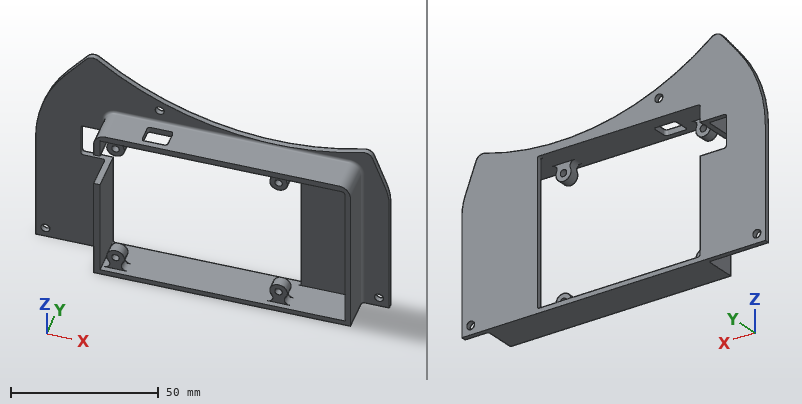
import cadquery as cq
import math

plate_width = 125.6
plate_thickness = 2.0
total_depth = 15.0
left_arc_start = 44.0
left_arc_radius = 48.6
left_arc_angle = math.radians(39.5)
right_arc_start = 46.1
right_arc_radius = 21.4
right_arc_angle = math.radians(20.8)
saddle_x = 85.4
saddle_z = 62.8
saddle_radius = 105.5
peak_radius = 3.0

box_left = 24.7
box_right = 115.9
box_top = 61.9
box_corner_radius = 4.3
base_fillet = 1.0
inner_left = 27.0
inner_right = 114.0
inner_bottom = 1.9
inner_top = 59.7
inner_corner_radius = 1.4
window_right = 94.3
window_corner_radius = 0.8

notch_left = 16.1
notch_bottom = 40.1
notch_top = 52.9
notch_radius = 1.0
port_left = 41.1
port_right = 50.1
port_back = 5.5
port_front = 12.7
port_radius = 1.0
screw_diameter = 3.1
screw_centers = [(3.5, 3.6), (122.0, 3.6), (44.1, 67.1)]

lug_left = 31.9
lug_right = 89.8
lug_bottom = 6.9
lug_top = 55.8
lug_radius = 3.1
lug_hole_diameter = 2.6
lug_flare_radius = 1.9
lug_inset = 2.0
lug_length = 4.0

seam_margin = 0.1
pick_margin = 1.3


def slab(sketch, back, front):
    """Extrude an XZ outline between two depths measured from the back of the plate."""
    return sketch.extrude(front - back).translate((0, -back, 0))


def rectangle(x0, x1, z0, z1):
    width = x1 - x0
    height = z1 - z0
    return cq.Workplane("XZ").center(x0 + width / 2, z0 + height / 2).rect(width, height)


def meet_saddle(x, z, slope):
    """Point where a line through (x, z) with dz/dx = slope reaches the concave top edge."""
    center_z = saddle_z + saddle_radius
    length = math.hypot(1, slope)
    ux, uz = 1 / length, slope / length
    if slope < 0:
        ux, uz = -ux, -uz
    dx, dz = x - saddle_x, z - center_z
    along = dx * ux + dz * uz
    travel = -along - math.sqrt(along**2 - dx**2 - dz**2 + saddle_radius**2)
    return x + travel * ux, z + travel * uz


def side_arc_point(radius, start_z, angle):
    """Inward shift and height after turning by angle from the vertical side."""
    return radius * (1 - math.cos(angle)), start_z + radius * math.sin(angle)


def make_outline():
    left_mid = side_arc_point(left_arc_radius, left_arc_start, left_arc_angle / 2)
    left_end = side_arc_point(left_arc_radius, left_arc_start, left_arc_angle)
    shift, height = side_arc_point(right_arc_radius, right_arc_start, right_arc_angle / 2)
    right_mid = (plate_width - shift, height)
    shift, height = side_arc_point(right_arc_radius, right_arc_start, right_arc_angle)
    right_end = (plate_width - shift, height)
    left_peak = meet_saddle(*left_end, 1 / math.tan(left_arc_angle))
    right_peak = meet_saddle(*right_end, -1 / math.tan(right_arc_angle))
    sketch = (
        cq.Workplane("XZ")
        .lineTo(0, left_arc_start)
        .threePointArc(left_mid, left_end)
        .lineTo(*left_peak)
        .threePointArc((saddle_x, saddle_z), right_peak)
        .lineTo(*right_end)
        .threePointArc(right_mid, (plate_width, right_arc_start))
        .lineTo(plate_width, 0)
        .close()
    )
    prism = slab(sketch, 0, total_depth)
    for x, z in (left_peak, right_peak):
        corner = cq.selectors.BoxSelector(
            (x - pick_margin, -total_depth, z - pick_margin), (x + pick_margin, 0, z + pick_margin)
        )
        prism = prism.edges("|Y").edges(corner).fillet(peak_radius)
    return prism


def make_box():
    """Frame blended into an oversized sheet, trimmed by the plate outline."""
    sheet = slab(rectangle(0, plate_width, -box_top, 2 * box_top), 0, plate_thickness)
    block = slab(rectangle(box_left, box_right, -box_top / 2, box_top), 0, total_depth)
    block = block.edges("|Y and >Z").fillet(box_corner_radius)
    seam = cq.selectors.BoxSelector(
        (box_left - pick_margin, -plate_thickness - seam_margin, -box_top / 4),
        (box_right + pick_margin, -plate_thickness + seam_margin, box_top + pick_margin),
    )
    return sheet.union(block).edges(seam).fillet(base_fillet).intersect(make_outline())


def make_cavity():
    pocket = slab(
        rectangle(inner_left, inner_right, inner_bottom, inner_top), plate_thickness, total_depth
    )
    pocket = pocket.edges("|Y and >X and >Z").fillet(inner_corner_radius)
    window = slab(rectangle(inner_left, window_right, inner_bottom, inner_top), 0, plate_thickness)
    return pocket.union(window.edges("|Y").fillet(window_corner_radius))


def make_notch():
    notch = slab(rectangle(notch_left, inner_left, notch_bottom, notch_top), 0, total_depth)
    return notch.edges("|Y and <X").fillet(notch_radius)


def make_port():
    width = port_right - port_left
    depth = port_front - port_back
    port = cq.Workplane("XY").box(width, depth, 2 * (box_top - inner_top))
    port = port.edges("|Z").fillet(port_radius)
    return port.translate((port_left + width / 2, -port_back - depth / 2, (box_top + inner_top) / 2))


def make_lug(x, z, wall_z):
    """Round eye joined to the wall at wall_z by a neck with concave flanks."""
    front = total_depth - lug_inset
    back = front - lug_length
    rise = abs(z - wall_z)
    up = math.copysign(1, z - wall_z)
    reach = lug_radius + lug_flare_radius
    half_base = math.sqrt(reach**2 - (rise - lug_flare_radius) ** 2)
    tangent_rise = lug_flare_radius + (rise - lug_flare_radius) * lug_flare_radius / reach
    neck_end = wall_z + up * tangent_rise
    neck = slab(
        rectangle(x - half_base, x + half_base, min(wall_z, neck_end), max(wall_z, neck_end)), back, front
    )
    flank_centers = [(x + side * half_base, wall_z + up * lug_flare_radius) for side in (-1, 1)]
    neck = neck.cut(slab(cq.Workplane("XZ").pushPoints(flank_centers).circle(lug_flare_radius), back, front))
    eye = slab(cq.Workplane("XZ").center(x, z).circle(lug_radius), back, front)
    hole = slab(cq.Workplane("XZ").center(x, z).circle(lug_hole_diameter / 2), back, front)
    return neck.union(eye).cut(hole)


screw_holes = slab(
    cq.Workplane("XZ").pushPoints(screw_centers).circle(screw_diameter / 2), 0, plate_thickness
)
result = make_box().cut(make_cavity()).cut(make_notch()).cut(make_port()).cut(screw_holes)
for lug_x in (lug_left, lug_right):
    result = result.union(make_lug(lug_x, lug_bottom, inner_bottom))
    result = result.union(make_lug(lug_x, lug_top, inner_top))